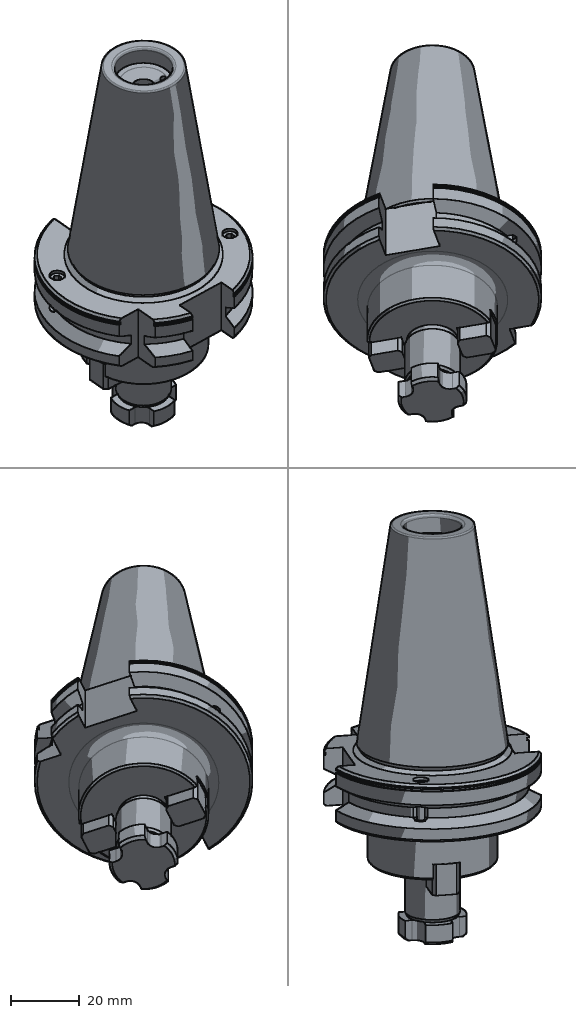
import cadquery as cq
import math

TOTAL_HEIGHT = 126.4
SCREW_HEAD_TOP = 6.2
PILOT_TOP = 21.0
NOSE_BOTTOM = 23.0
FLANGE_BOTTOM = 39.0
FLANGE_TOP = 56.8
UNDERCUT_BOTTOM = 57.6
TAPER_BOTTOM = 58.9

TAPER_END_RADIUS = 12.3
TAPER_SLOPE = 7 / 48
TAPER_END_ROUND = 0.5
UNDERCUT_RADIUS = 21.4
COLLAR_RADIUS = 23.1

FLANGE_DIAMETER = 63.6
FLANGE_RADIUS = FLANGE_DIAMETER / 2
FLANGE_CHAMFER = 0.8
V_CENTRE = 46.9
V_ROOT_RADIUS = 28.0
V_ROOT_HALF_WIDTH = 1.5
V_FLANK_ANGLE = 30
RING_TOP = 55.5
RING_BOTTOM = 54.7
RING_DEPTH = 0.5

SLOT_WIDTH = 16.3
LEFT_SLOT_FLOOR = 22.8
RIGHT_SLOT_FLOOR = 25.0
NOTCH_OFFSET = 18.5

COOLANT_ANGLE = 70
COOLANT_RADIUS = 2.3
COOLANT_PITCH_RADIUS = 27.0
COOLANT_BOTTOM = 44.6
PLUG_RECESS = 1.0
PLUG_LENGTH = 5.0
PLUG_POINT_RADIUS = 1.1
SOCKET_SIZE = 2.5
SOCKET_DEPTH = 2.5
OUTLET_RADIUS = 0.8
OUTLET_PITCH_RADIUS = 6.1
OUTLET_DEPTH = 2.5

NOSE_RADIUS = 19.0
NOSE_FILLET = 2.9
NOSE_CHAMFER = 0.6
PILOT_RADIUS = 8.1
PILOT_NECK_RADIUS = 7.6
PILOT_CHAMFER = 0.5
PILOT_CHAMFER_HEIGHT = 1.0
KEY_WIDTH = 8.1
KEY_INNER = 8.3
KEY_OUTER = 18.3
KEY_BOTTOM = 18.2
KEY_TOP = 27.9
KEY_CHAMFER = 1.0

SCREW_HEAD_RADIUS = 10.0
SCREW_HEAD_CHAMFER = 0.9
SCREW_ARM_WIDTH = 8.1
SCREW_RECESS_RADIUS = 3.0

BORE_RADIUS = 8.5
BORE_MOUTH_ROUND = 0.9
BORE_DEPTH = 5.5
BORE_STEP_RADIUS = 7.1
BORE_STEP_DEPTH = 6.0
BOWL_DEPTH = 7.5
PIT_RADIUS = 3.3
PIT_DEPTH = 10.1


def revolve_outline(outline):
    """Close a half outline and turn it about the tool axis."""
    return outline.close().revolve(360, (0, 0, 0), (0, 1, 0))


def make_body():
    """Taper, flange, nose and pilot as one turned solid."""
    flank_rise = (FLANGE_RADIUS - V_ROOT_RADIUS) * math.tan(math.radians(V_FLANK_ANGLE))
    v_half_width = V_ROOT_HALF_WIDTH + flank_rise
    taper_base_radius = TAPER_END_RADIUS + (TOTAL_HEIGHT - TAPER_BOTTOM) * TAPER_SLOPE
    ring_radius = FLANGE_RADIUS - RING_DEPTH
    flange_face_radius = FLANGE_RADIUS - FLANGE_CHAMFER
    fillet_mid = NOSE_FILLET * (1 - math.sqrt(0.5))
    outline = (
        cq.Workplane("XZ")
        .moveTo(0, SCREW_HEAD_TOP)
        .lineTo(PILOT_RADIUS - PILOT_CHAMFER, SCREW_HEAD_TOP)
        .lineTo(PILOT_RADIUS, SCREW_HEAD_TOP + PILOT_CHAMFER_HEIGHT)
        .lineTo(PILOT_RADIUS, PILOT_TOP)
        .lineTo(PILOT_NECK_RADIUS, PILOT_TOP)
        .lineTo(PILOT_NECK_RADIUS, NOSE_BOTTOM)
        .lineTo(NOSE_RADIUS - NOSE_CHAMFER, NOSE_BOTTOM)
        .lineTo(NOSE_RADIUS, NOSE_BOTTOM + NOSE_CHAMFER)
        .lineTo(NOSE_RADIUS, FLANGE_BOTTOM - NOSE_FILLET)
        .threePointArc(
            (NOSE_RADIUS + fillet_mid, FLANGE_BOTTOM - fillet_mid),
            (NOSE_RADIUS + NOSE_FILLET, FLANGE_BOTTOM),
        )
        .lineTo(flange_face_radius, FLANGE_BOTTOM)
        .lineTo(FLANGE_RADIUS, FLANGE_BOTTOM + FLANGE_CHAMFER)
        .lineTo(FLANGE_RADIUS, V_CENTRE - v_half_width)
        .lineTo(V_ROOT_RADIUS, V_CENTRE - V_ROOT_HALF_WIDTH)
        .lineTo(V_ROOT_RADIUS, V_CENTRE + V_ROOT_HALF_WIDTH)
        .lineTo(FLANGE_RADIUS, V_CENTRE + v_half_width)
        .lineTo(FLANGE_RADIUS, RING_BOTTOM)
        .lineTo(ring_radius, RING_BOTTOM)
        .lineTo(ring_radius, RING_TOP)
        .lineTo(FLANGE_RADIUS, RING_TOP)
        .lineTo(FLANGE_RADIUS, FLANGE_TOP - FLANGE_CHAMFER)
        .lineTo(flange_face_radius, FLANGE_TOP)
        .lineTo(COLLAR_RADIUS, FLANGE_TOP)
        .lineTo(UNDERCUT_RADIUS, UNDERCUT_BOTTOM)
        .lineTo(taper_base_radius, TAPER_BOTTOM)
        .lineTo(TAPER_END_RADIUS, TOTAL_HEIGHT)
        .lineTo(0, TOTAL_HEIGHT)
    )
    return revolve_outline(outline).faces(">Z").edges().fillet(TAPER_END_ROUND)


def make_bore():
    """Stepped bore with a shallow bowl and a central pit."""
    outline = (
        cq.Workplane("XZ")
        .moveTo(0, TOTAL_HEIGHT)
        .lineTo(BORE_RADIUS + BORE_MOUTH_ROUND, TOTAL_HEIGHT)
        .radiusArc((BORE_RADIUS, TOTAL_HEIGHT - BORE_MOUTH_ROUND), -BORE_MOUTH_ROUND)
        .lineTo(BORE_RADIUS, TOTAL_HEIGHT - BORE_DEPTH)
        .lineTo(BORE_STEP_RADIUS, TOTAL_HEIGHT - BORE_STEP_DEPTH)
        .lineTo(PIT_RADIUS, TOTAL_HEIGHT - BOWL_DEPTH)
        .lineTo(PIT_RADIUS, TOTAL_HEIGHT - PIT_DEPTH)
        .lineTo(0, TOTAL_HEIGHT - PIT_DEPTH)
    )
    return revolve_outline(outline)


def make_flange_cuts():
    """Two unequal drive slots and the square orientation notch."""
    height = FLANGE_TOP - FLANGE_BOTTOM
    reach = FLANGE_RADIUS
    base = cq.Workplane("XY").workplane(offset=FLANGE_BOTTOM)
    left_slot = base.center(-LEFT_SLOT_FLOOR - reach / 2, 0).rect(reach, SLOT_WIDTH).extrude(height)
    right_slot = base.center(RIGHT_SLOT_FLOOR + reach / 2, 0).rect(reach, SLOT_WIDTH).extrude(height)
    notch_centre = NOTCH_OFFSET + reach / 2
    notch = base.center(notch_centre, -notch_centre).rect(reach, reach).extrude(height)
    return left_slot.union(right_slot).union(notch)


def coolant_plane(pitch_radius, height):
    """Work plane with two opposite points on the coolant direction."""
    angle = math.radians(COOLANT_ANGLE)
    x = pitch_radius * math.cos(angle)
    y = pitch_radius * math.sin(angle)
    return (
        cq.Workplane("XY")
        .workplane(offset=height)
        .pushPoints([(x, y), (-x, -y)])
    )


def make_coolant_holes():
    """Holes from the flange face down into the gripper groove."""
    depth = FLANGE_TOP - COOLANT_BOTTOM
    return coolant_plane(COOLANT_PITCH_RADIUS, COOLANT_BOTTOM).circle(COOLANT_RADIUS).extrude(depth)


def make_coolant_outlets():
    """Small holes that open into the bowl of the bore."""
    depth = BOWL_DEPTH + OUTLET_DEPTH
    bottom = TOTAL_HEIGHT - depth
    return coolant_plane(OUTLET_PITCH_RADIUS, bottom).circle(OUTLET_RADIUS).extrude(depth)


def make_coolant_plugs():
    """Socket screws that close the coolant holes, each with a slim point below."""
    top = FLANGE_TOP - PLUG_RECESS
    bottom = top - PLUG_LENGTH
    body = coolant_plane(COOLANT_PITCH_RADIUS, bottom).circle(COOLANT_RADIUS).extrude(PLUG_LENGTH)
    socket = (
        coolant_plane(COOLANT_PITCH_RADIUS, top - SOCKET_DEPTH)
        .polygon(6, SOCKET_SIZE)
        .extrude(SOCKET_DEPTH)
    )
    point = (
        coolant_plane(COOLANT_PITCH_RADIUS, COOLANT_BOTTOM)
        .circle(PLUG_POINT_RADIUS)
        .extrude(bottom - COOLANT_BOTTOM)
    )
    return body.cut(socket).union(point)


def make_key_slot(side):
    """Open slot in the nose that holds one drive key (side is +1 or -1 along Y)."""
    length = NOSE_RADIUS - KEY_INNER
    return (
        cq.Workplane("XY")
        .workplane(offset=NOSE_BOTTOM)
        .center(0, side * (KEY_INNER + length / 2))
        .rect(KEY_WIDTH, length)
        .extrude(KEY_TOP - NOSE_BOTTOM)
    )


def make_key(side):
    """Drive key with chamfered upright edges."""
    return (
        cq.Workplane("XY")
        .workplane(offset=KEY_BOTTOM)
        .center(0, side * (KEY_INNER + KEY_OUTER) / 2)
        .rect(KEY_WIDTH, KEY_OUTER - KEY_INNER)
        .extrude(KEY_TOP - KEY_BOTTOM)
        .edges("|Z")
        .chamfer(KEY_CHAMFER)
    )


def make_screw_head():
    """Round head with a rounded recess between each pair of its four arms."""
    head = (
        cq.Workplane("XY")
        .circle(SCREW_HEAD_RADIUS)
        .extrude(SCREW_HEAD_TOP)
        .faces("<Z")
        .edges()
        .chamfer(SCREW_HEAD_CHAMFER)
    )
    recess_centre = SCREW_ARM_WIDTH / 2 + SCREW_HEAD_RADIUS / 2
    recess = (
        cq.Workplane("XY")
        .center(recess_centre, recess_centre)
        .rect(SCREW_HEAD_RADIUS, SCREW_HEAD_RADIUS)
        .extrude(SCREW_HEAD_TOP)
        .edges("|Z and <X and <Y")
        .fillet(SCREW_RECESS_RADIUS)
    )
    for quarter in range(4):
        head = head.cut(recess.rotate((0, 0, 0), (0, 0, 1), 90 * quarter))
    return head


result = make_body().cut(make_bore()).cut(make_flange_cuts())
result = result.cut(make_coolant_holes()).cut(make_coolant_outlets())
result = result.union(make_coolant_plugs())
for side in (1, -1):
    result = result.cut(make_key_slot(side)).union(make_key(side))
result = result.union(make_screw_head())